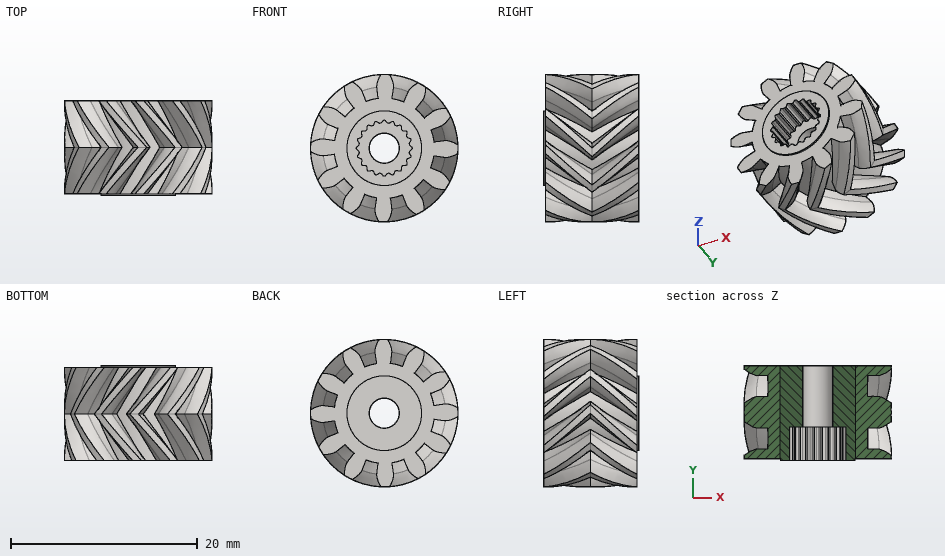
import cadquery as cq
import math

TOOTH_COUNT = 12
TOOTH_PITCH = 360 / TOOTH_COUNT
TIP_RADIUS = 7.91
BASE_RADIUS = 6.58
ROOT_RADIUS = 5.38
TOOTH_EMBED = 0.16
BASE_HALF_ANGLE = 7.9
INVOLUTE_STEPS = 4

HALF_WIDTH = 5.0
GEAR_WIDTH = 2 * HALF_WIDTH
TWIST_ANGLE = 32.4
END_TOOTH_ANGLE = 0.8

HUB_RADIUS = 8.0 / 2
HUB_STEP = 0.19
HUB_LENGTH = GEAR_WIDTH + HUB_STEP
HUB_FRONT = -HALF_WIDTH - HUB_STEP
BORE_RADIUS = 3.2 / 2

SPLINE_COUNT = 20
SPLINE_PITCH = 360 / SPLINE_COUNT
SPLINE_DEPTH = 3.59
GROOVE_RADIUS = 3.0
GROOVE_EDGE_RADIUS = 2.96
LAND_RADIUS = 2.72
GROOVE_HALF_ANGLE = 2.2
LAND_HALF_ANGLE = 2.0


def polar(radius, degrees):
    angle = math.radians(degrees)
    return (radius * math.cos(angle), radius * math.sin(angle))


def cylinder(radius, front, length):
    """Cylinder on the Y axis that runs from Y = front toward +Y."""
    return cq.Workplane("XZ", origin=(0, front, 0)).circle(radius).extrude(-length)


def involute_angle(radius):
    """Degrees an involute has turned from the base circle to the given radius."""
    pressure_angle = math.acos(BASE_RADIUS / radius)
    return math.degrees(math.tan(pressure_angle) - pressure_angle)


def flank_points(center, side):
    """Involute points from the base circle to the tip, on side -1 or +1 of a tooth."""
    step = (TIP_RADIUS - BASE_RADIUS) / INVOLUTE_STEPS
    radii = [BASE_RADIUS + i * step for i in range(INVOLUTE_STEPS + 1)]
    return [polar(r, center + side * (BASE_HALF_ANGLE - involute_angle(r))) for r in radii]


def tooth_outline(start_angle):
    """Closed outline of all the teeth, with gaps that reach slightly into the core."""
    foot_radius = ROOT_RADIUS - TOOTH_EMBED
    outline = cq.Workplane("XZ").moveTo(*polar(foot_radius, start_angle - BASE_HALF_ANGLE))
    for tooth in range(TOOTH_COUNT):
        center = start_angle + tooth * TOOTH_PITCH
        rising = flank_points(center, -1)
        falling = flank_points(center, 1)[::-1]
        next_foot = center + TOOTH_PITCH - BASE_HALF_ANGLE
        outline = (
            outline.lineTo(*rising[0])
            .spline(rising[1:], includeCurrent=True)
            .threePointArc(polar(TIP_RADIUS, center), falling[0])
            .spline(falling[1:], includeCurrent=True)
            .lineTo(*polar(foot_radius, center + BASE_HALF_ANGLE))
            .threePointArc(polar(foot_radius, center + TOOTH_PITCH / 2), polar(foot_radius, next_foot))
        )
    return outline.close()


def herringbone_gear():
    """Two mirrored sets of helical teeth on one core, bored for the hub."""
    middle_angle = -END_TOOTH_ANGLE - TWIST_ANGLE
    front_teeth = tooth_outline(middle_angle).twistExtrude(HALF_WIDTH, TWIST_ANGLE)
    back_teeth = front_teeth.mirror("XZ")
    core = cylinder(ROOT_RADIUS, -HALF_WIDTH, GEAR_WIDTH)
    hub_hole = cylinder(HUB_RADIUS, -HALF_WIDTH, GEAR_WIDTH)
    return core.union(front_teeth).union(back_teeth).cut(hub_hole)


def spline_socket():
    """Socket with round-bottomed grooves, running inward from the front of the hub."""
    outline = cq.Workplane("XZ", origin=(0, HUB_FRONT, 0))
    outline = outline.moveTo(*polar(GROOVE_EDGE_RADIUS, -GROOVE_HALF_ANGLE))
    for groove in range(SPLINE_COUNT):
        center = groove * SPLINE_PITCH
        land = center + SPLINE_PITCH / 2
        next_groove = center + SPLINE_PITCH - GROOVE_HALF_ANGLE
        outline = (
            outline.threePointArc(
                polar(GROOVE_RADIUS, center), polar(GROOVE_EDGE_RADIUS, center + GROOVE_HALF_ANGLE)
            )
            .lineTo(*polar(LAND_RADIUS, land - LAND_HALF_ANGLE))
            .threePointArc(polar(LAND_RADIUS, land), polar(LAND_RADIUS, land + LAND_HALF_ANGLE))
        )
        if groove < SPLINE_COUNT - 1:
            outline = outline.lineTo(*polar(GROOVE_EDGE_RADIUS, next_groove))
    return outline.close().extrude(-SPLINE_DEPTH)


def splined_hub():
    body = cylinder(HUB_RADIUS, HUB_FRONT, HUB_LENGTH)
    bore = cylinder(BORE_RADIUS, HUB_FRONT, HUB_LENGTH)
    return body.cut(bore).cut(spline_socket())


gear = herringbone_gear()
hub = splined_hub()

result = cq.Compound.makeCompound([gear.solids().val(), hub.solids().val()])